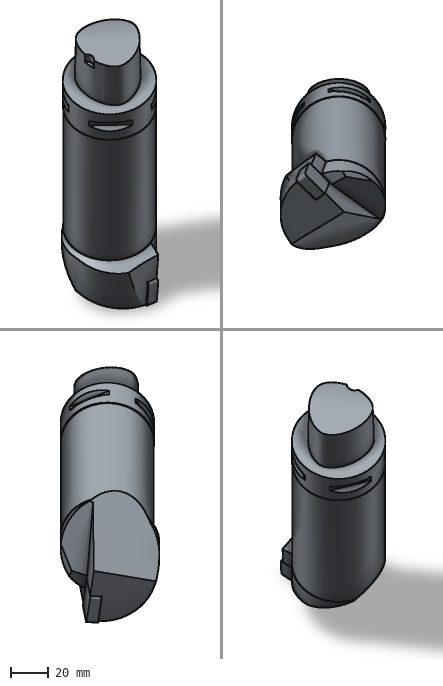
import cadquery as cq
import math


coupling_height = 30.0
coupling_base_radius = 17.6
coupling_top_radius = 17.1
lobe_ratio = 0.072
side_half_angle = 23.0
curve_steps = 8
notch_diameter = 8.3
notch_depth = 5.8
notch_centre_y = -18.0

flange_radius = 50.0 / 2
shank_radius = 49.7 / 2
flange_height = 20.0
flange_taper_height = 0.5

slot_count = 4
slot_floor_radius = 22.1
slot_centre_z = -9.9
slot_floor_width = 3.6
slot_flare = 30.0
slot_length = 2 * flange_radius

head_top_z = -115.5
head_bottom_limit = -154.8
head_cone_angle = 20.0
head_front_y = -28.3
head_flat_end_x = 5.8
head_left_radius = 19.8
head_right_radius = 27.5

relief_start_z = -108.0
relief_slope = 1.31

flute_roof_z = -124.7
flute_roof_slope = 0.45
flute_edge_z = -139.3
flute_edge_slope = 0.49
flute_deep_z = -132.3

nose_x = 35.1
nose_y = -0.5
nose_z = -150.1
insert_edge = 16.2
insert_angle = 80.0
insert_thickness = 6.3
nose_radius = 1.6
insert_edge_rise = 0.1

nose = cq.Vector(nose_x, nose_y, nose_z)
rake_normal = cq.Vector(0.2, 1, -0.135)

end_point = cq.Vector(0, 0, -145.5)
end_normal = cq.Vector(-0.1, -0.1, -1)
side_point = cq.Vector(33.5, 0, -147.6)
side_normal = cq.Vector(1, -0.14, 0.082)

cutter_size = 360.0


def half_space(point, normal):
    """Large block on the side of a plane that its normal points to."""
    plane = cq.Plane(origin=point, normal=normal)
    return cq.Workplane(plane).rect(cutter_size, cutter_size).extrude(cutter_size)


def lobed_point(mean_radius, degrees, z):
    """Point of the lobed curve whose outward normal is at this angle from +Y."""
    angle = math.radians(degrees)
    lobe = lobe_ratio * mean_radius
    support = mean_radius + lobe * math.cos(3 * angle)
    slope = -3 * lobe * math.sin(3 * angle)
    along = support * math.cos(angle) - slope * math.sin(angle)
    across = support * math.sin(angle) + slope * math.cos(angle)
    return cq.Vector(-across, along, z)


def lobed_tangent(degrees):
    angle = math.radians(degrees)
    return cq.Vector(-math.cos(angle), -math.sin(angle), 0)


def lobed_wire(mean_radius, z):
    """Three lobes and three flatter sides, each one smooth curve."""
    edges = []
    for lobe_index in range(3):
        lobe_angle = 120 * lobe_index
        lobe_start = lobe_angle - 60 + side_half_angle
        lobe_end = lobe_angle + 60 - side_half_angle
        side_end = lobe_end + 2 * side_half_angle
        for start, end in ((lobe_start, lobe_end), (lobe_end, side_end)):
            step = (end - start) / curve_steps
            points = [lobed_point(mean_radius, start + step * i, z) for i in range(curve_steps + 1)]
            tangents = [lobed_tangent(start), lobed_tangent(end)]
            edges.append(cq.Edge.makeSpline(points, tangents=tangents))
    return cq.Wire.assembleEdges(edges)


def make_coupling():
    base = lobed_wire(coupling_base_radius, 0)
    top = lobed_wire(coupling_top_radius, coupling_height)
    coupling = cq.Workplane(cq.Solid.makeLoft([base, top], True))
    notch = (
        cq.Workplane("XY", origin=(0, notch_centre_y, coupling_height))
        .circle(notch_diameter / 2)
        .extrude(-notch_depth)
    )
    return coupling.cut(notch)


def make_shank():
    """Flange and shank as one turned profile."""
    return (
        cq.Workplane("XZ")
        .moveTo(0, 0)
        .lineTo(flange_radius, 0)
        .lineTo(flange_radius, -flange_height)
        .lineTo(shank_radius, -flange_height - flange_taper_height)
        .lineTo(shank_radius, head_top_z)
        .lineTo(0, head_top_z)
        .close()
        .revolve(360, (0, 0, 0), (0, 1, 0))
    )


def make_gripper_slot():
    """Flat-floored slot with flared walls, cut from the +X side."""
    depth = flange_radius - slot_floor_radius + 1.8
    floor_half = slot_floor_width / 2
    mouth_half = floor_half + depth * math.tan(math.radians(slot_flare))
    return (
        cq.Workplane("XZ", origin=(slot_floor_radius, slot_length / 2, slot_centre_z))
        .polyline([(0, -floor_half), (depth, -mouth_half), (depth, mouth_half), (0, floor_half)])
        .close()
        .extrude(slot_length)
    )


def make_head_core():
    """Round part of the head below the shank, opened by the chip flute."""
    core = (
        cq.Workplane("XY", origin=(0, 0, head_top_z))
        .circle(flange_radius)
        .extrude(head_bottom_limit - head_top_z)
    )
    below_slope = half_space((0, 0, flute_roof_z), (-flute_roof_slope, 0, -1))
    below_flat = half_space((0, 0, flute_deep_z), (0, 0, -1))
    below_edge = half_space((0, 0, flute_edge_z), (0, flute_edge_slope, -1))
    flute = below_slope.union(below_flat).union(below_edge)
    flute = flute.intersect(half_space(nose, rake_normal))
    return core.cut(flute)


def make_head_lobe():
    """Offset part of the head that carries the insert, with a conical top."""
    diagonal = math.sqrt(0.5)
    left_y = head_front_y + head_left_radius
    right_x = head_flat_end_x + head_right_radius
    right_y = head_front_y + head_right_radius
    back_y = flange_radius / 2
    right_limit = 2 * flange_radius
    outline = (
        cq.Workplane("XY", origin=(0, 0, head_bottom_limit))
        .moveTo(0, back_y)
        .lineTo(0, left_y)
        .lineTo(-head_left_radius, left_y)
        .threePointArc(
            (-head_left_radius * diagonal, left_y - head_left_radius * diagonal),
            (0, head_front_y),
        )
        .lineTo(head_flat_end_x, head_front_y)
        .threePointArc(
            (head_flat_end_x + head_right_radius * diagonal, right_y - head_right_radius * diagonal),
            (right_x, right_y),
        )
        .lineTo(right_x, back_y)
        .close()
        .extrude(head_top_z - head_bottom_limit)
    )
    cone_drop = (right_limit - shank_radius) * math.tan(math.radians(head_cone_angle))
    cone = (
        cq.Workplane("XZ")
        .moveTo(0, head_top_z)
        .lineTo(shank_radius, head_top_z)
        .lineTo(right_limit, head_top_z - cone_drop)
        .lineTo(right_limit, head_bottom_limit)
        .lineTo(0, head_bottom_limit)
        .close()
        .revolve(360, (0, 0, 0), (0, 1, 0))
    )
    return outline.intersect(cone).cut(half_space(nose, rake_normal))


def make_insert():
    """Rhombic insert, flush with the rake face, with its working corner at the nose."""
    edge_y = (rake_normal.x - rake_normal.z * insert_edge_rise) / rake_normal.y
    edge_direction = cq.Vector(-1, edge_y, insert_edge_rise)
    plane = cq.Plane(origin=nose, xDir=edge_direction, normal=rake_normal)
    side_x = insert_edge * math.cos(math.radians(insert_angle))
    side_y = insert_edge * math.sin(math.radians(insert_angle))
    return (
        cq.Workplane(plane)
        .polyline([(0, 0), (insert_edge, 0), (insert_edge + side_x, side_y), (side_x, side_y)])
        .close()
        .extrude(-insert_thickness)
        .edges(cq.selectors.ParallelDirSelector(rake_normal))
        .fillet(nose_radius)
    )


def make_holder(insert):
    holder = make_shank().union(make_coupling())
    for index in range(slot_count):
        angle = 360 / slot_count * (index + 0.5)
        holder = holder.cut(make_gripper_slot().rotate((0, 0, 0), (0, 0, 1), angle))

    head = make_head_core().union(make_head_lobe())
    head = head.cut(half_space(end_point, end_normal))
    head = head.cut(half_space(side_point, side_normal))

    relief = half_space((-shank_radius, 0, relief_start_z), (-relief_slope, 0, -1))
    holder = holder.union(head).cut(relief)
    return holder.cut(insert)


insert = make_insert()
holder = make_holder(insert)
result = cq.Compound.makeCompound([holder.val(), insert.val()])